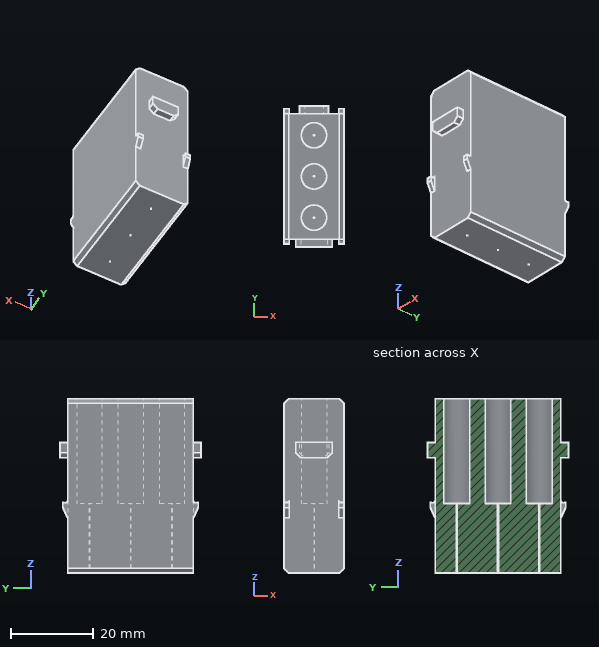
import cadquery as cq
import math

body_width = 14.6
body_depth = 30.5
body_height = 42.3
edge_chamfer = 1.15

hole_count = 3
hole_pitch = 10.0
hole_diameter = 6.15
hole_depth = 25.4
pilot_diameter = 0.15

total_depth = 34.2
tab_reach = (total_depth - body_depth) / 2
tab_top = 31.72
tab_height = 3.75
tab_chamfer = 1.25
front_tab_width = 8.95
back_tab_width = 7.1

hook_width = 1.35
hook_reach = 1.2
hook_top = 17.6
groove_radius = 0.5
lip_depth = 0.6
lip_rise = 0.1
groove_width = hook_reach - lip_depth
ramp_top = 15.9
ramp_bottom = 13.7
heel_reach = 0.19
hook_bottom = 13.4


def make_body():
    block = cq.Workplane("XY").box(body_width, body_depth, body_height, centered=(True, True, False))
    return block.edges("|Y").chamfer(edge_chamfer)


def make_contact_holes():
    first_y = -hole_pitch * (hole_count - 1) / 2
    centres = [(0, first_y + i * hole_pitch) for i in range(hole_count)]
    top_face = cq.Workplane("XY", origin=(0, 0, body_height)).pushPoints(centres)
    bores = top_face.circle(hole_diameter / 2).extrude(-hole_depth)
    pilots = top_face.circle(pilot_diameter / 2).extrude(-body_height)
    return bores.union(pilots)


def make_tab(width):
    """Keying tab standing out from the front (-Y) end face."""
    tab = cq.Workplane("XY").box(width, tab_reach, tab_height, centered=(True, False, False))
    tab = tab.edges("|Y and <Z").chamfer(tab_chamfer)
    return tab.translate((0, -body_depth / 2 - tab_reach, tab_top - tab_height))


def make_hook():
    """Latch hook on the front (-Y) end face, flush with the left (-X) side."""
    face_y = -body_depth / 2
    arc_axis_y = face_y - groove_radius
    half_chord = groove_radius * math.sqrt(0.5)
    lip_offset = groove_width - groove_radius
    lip_height = hook_top - math.sqrt(groove_radius**2 - lip_offset**2)
    return (
        cq.Workplane("YZ", origin=(-body_width / 2, 0, 0))
        .moveTo(face_y, hook_top)
        .threePointArc((arc_axis_y + half_chord, hook_top - half_chord), (face_y - groove_width, lip_height))
        .lineTo(face_y - hook_reach, lip_height + lip_rise)
        .lineTo(face_y - hook_reach, ramp_top)
        .lineTo(face_y - heel_reach, ramp_bottom)
        .lineTo(face_y, hook_bottom)
        .close()
        .extrude(hook_width)
    )


front_tab = make_tab(front_tab_width)
back_tab = make_tab(back_tab_width).mirror("XZ")

left_front_hook = make_hook()
front_hooks = left_front_hook.union(left_front_hook.mirror("YZ"))
back_hooks = front_hooks.mirror("XZ")

result = (
    make_body()
    .union(front_tab)
    .union(back_tab)
    .union(front_hooks)
    .union(back_hooks)
    .cut(make_contact_holes())
)